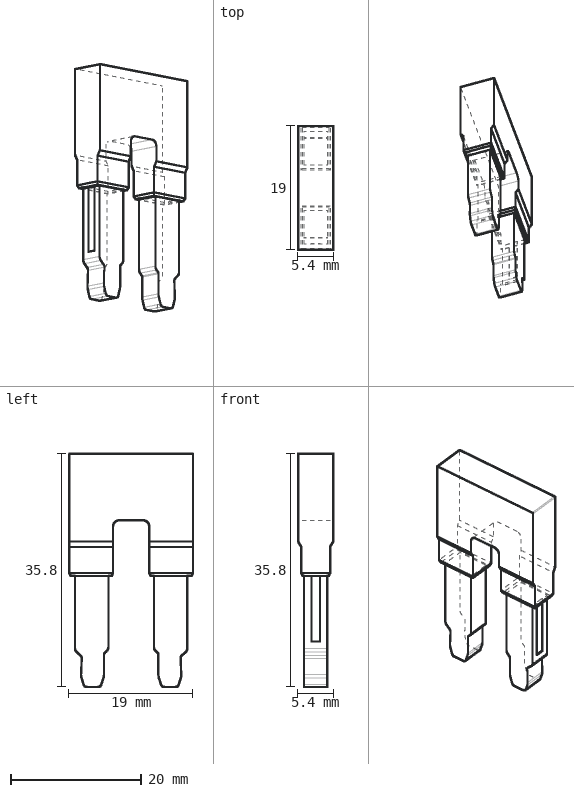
import cadquery as cq


total_height = 35.8
housing_width = 19.0
head_thickness = 5.4
foot_thickness = 4.48
housing_bottom = 17.05
step_bottom = 21.5
step_top = 22.3
top_rounding = 0.15
foot_chamfer_inset = 0.2
foot_chamfer_height = 0.45

opening_width = 5.5
opening_top = 25.55
opening_radius = 0.93

blade_thickness = 3.58
blade_width = 5.15
blade_outer_y = 8.63
blade_embed = 1.07
blade_top = housing_bottom + blade_embed

outer_shoulder_z = 5.6
outer_neck_inset = 1.05
outer_neck_z = 4.65
outer_tip_inset = 0.913
inner_shoulder_z = 5.8
inner_neck_inset = 0.68
inner_neck_z = 5.12
tip_taper_z = 1.65
outer_end_inset = 1.43
inner_end_inset = 1.2
shoulder_radius = 0.8
neck_radius = 0.55
inner_neck_radius = 0.2
taper_radius = 1.55
tip_radius = 0.5

recess_width = 1.3
recess_bottom = 7.0
recess_depth = 0.07


def make_housing():
    """Stepped slab with an open-bottomed notch and bevelled feet."""
    head_x = head_thickness / 2
    foot_x = foot_thickness / 2
    slab = (
        cq.Workplane("XZ")
        .moveTo(-foot_x, housing_bottom)
        .lineTo(foot_x, housing_bottom)
        .lineTo(foot_x, step_bottom)
        .lineTo(head_x, step_top)
        .lineTo(head_x, total_height)
        .lineTo(-head_x, total_height)
        .lineTo(-head_x, step_top)
        .lineTo(-foot_x, step_bottom)
        .close()
        .extrude(housing_width / 2, both=True)
    )
    slab = slab.faces(">Z").edges("|X").fillet(top_rounding)
    opening_height = opening_top - housing_bottom
    opening = (
        cq.Workplane("XY")
        .workplane(offset=housing_bottom)
        .rect(head_thickness, opening_width)
        .extrude(opening_height)
        .faces(">Z")
        .edges("|X")
        .fillet(opening_radius)
    )
    housing = slab.cut(opening)
    foot_y = (housing_width + opening_width) / 4
    foot_width = (housing_width - opening_width) / 2
    for side in (-1, 1):
        housing = housing.cut(make_foot_bevel(foot_width).translate((0, side * foot_y, 0)))
    return housing


def make_foot_bevel(foot_width):
    """Material removed around the bottom rim of one foot."""
    block = (
        cq.Workplane("XY")
        .workplane(offset=housing_bottom)
        .rect(foot_thickness, foot_width)
        .extrude(foot_chamfer_height)
    )
    kept_core = (
        cq.Workplane("XY")
        .workplane(offset=housing_bottom)
        .rect(foot_thickness - 2 * foot_chamfer_inset, foot_width - 2 * foot_chamfer_inset)
        .workplane(offset=foot_chamfer_height)
        .rect(foot_thickness, foot_width)
        .loft(ruled=True)
    )
    return block.cut(kept_core)


def round_corner(body, y, z, radius):
    """Fillet the edge along X that passes through (y, z)."""
    reach = 0.018
    corner = cq.selectors.BoxSelector(
        (-reach, y - reach, z - reach),
        (reach, y + reach, z + reach),
    )
    return body.edges(corner).fillet(radius)


def make_blade():
    """Front (-Y) blade, profiled in YZ and extruded through its thickness."""
    outer = -blade_outer_y
    inner = outer + blade_width
    outer_shoulder = (outer, outer_shoulder_z)
    outer_neck = (outer + outer_neck_inset, outer_neck_z)
    outer_taper = (outer + outer_tip_inset, tip_taper_z)
    outer_end = (outer + outer_end_inset, 0)
    inner_end = (inner - inner_end_inset, 0)
    inner_taper = (inner - inner_neck_inset, tip_taper_z)
    inner_neck = (inner - inner_neck_inset, inner_neck_z)
    inner_shoulder = (inner, inner_shoulder_z)
    profile = [
        (outer, blade_top),
        outer_shoulder,
        outer_neck,
        outer_taper,
        outer_end,
        inner_end,
        inner_taper,
        inner_neck,
        inner_shoulder,
        (inner, blade_top),
    ]
    blade = cq.Workplane("YZ").polyline(profile).close().extrude(blade_thickness / 2, both=True)
    rounded_corners = [
        (outer_shoulder, shoulder_radius),
        (outer_neck, neck_radius),
        (outer_taper, taper_radius),
        (outer_end, tip_radius),
        (inner_end, tip_radius),
        (inner_taper, taper_radius),
        (inner_neck, inner_neck_radius),
        (inner_shoulder, shoulder_radius),
    ]
    for (y, z), radius in rounded_corners:
        blade = round_corner(blade, y, z, radius)
    return blade


def make_recess():
    """Shallow strip running from the housing down the front blade's outer face."""
    return cq.Workplane("XY").box(
        recess_width,
        recess_depth,
        housing_bottom - recess_bottom,
        centered=(True, False, False),
    ).translate((0, -blade_outer_y, recess_bottom))


front_blade = make_blade()
rear_blade = front_blade.mirror("XZ")
result = make_housing().union(front_blade.cut(make_recess())).union(rear_blade)